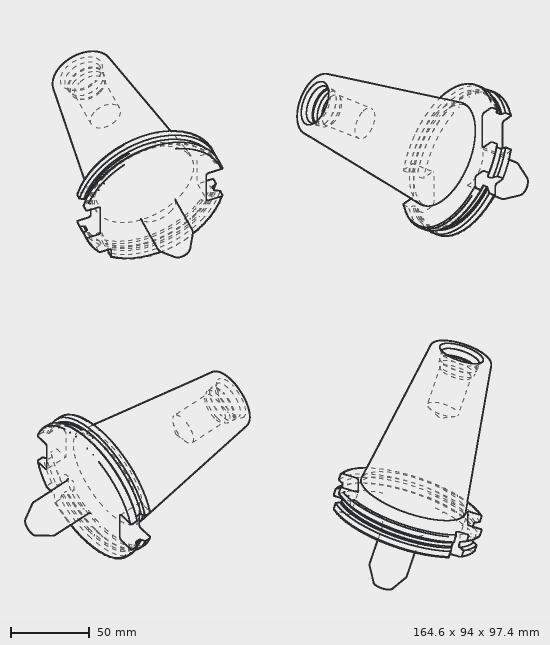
import cadquery as cq
import math


total_length = 164.6
taper_length = 101.0
relief_start = 102.2
flange_start = 104.9
flange_width = 16.0
flange_end = flange_start + flange_width

taper_large_radius = 34.9
taper_radius_slope = 7 / 48
taper_small_radius = taper_large_radius - taper_length * taper_radius_slope
neck_radius = 34.5
neck_fillet = 1.0
taper_end_fillet = 2.1

flange_radius = 48.7
flange_edge_fillet = 1.0
groove_centre = 112.8
groove_half_width = 3.3
groove_wall_half_width = 2.0
groove_included_angle = 60
groove_bevel_depth = (groove_half_width - groove_wall_half_width) / math.tan(
    math.radians(groove_included_angle / 2)
)
groove_floor_radius = 45.6
groove_floor_fillet = 0.8

nose_radius = 12.5
nose_root_fillet = 5.8
nose_edge_fillet = 1.0
tip_radius = 6.3
tip_half_angle = 30
tip_start = total_length - (nose_radius - tip_radius) / math.tan(math.radians(tip_half_angle))

slot_half_height = 12.8
slot_floor_back = 35.5
slot_floor_front = 37.4
notch_wall = 29.8
notch_top = 30.1
slot_fillet = 1.6

rim_radius = 14.5
rim_depth = 0.5
mouth_radius = 14.0
pilot_start = 2.6
pilot_radius = 12.5
pilot_end = 7.2
thread_radius = 12.0
thread_start = pilot_end + pilot_radius - thread_radius
thread_end = 10.9
runout_radius = 11.7
runout_end = thread_end + thread_radius - runout_radius
drill_start = 13.2
drill_radius = 10.4
drill_depth = 39.5
drill_tip_half_angle = 59
drill_tip = drill_depth + drill_radius / math.tan(math.radians(drill_tip_half_angle))


def revolve_about_x(points):
    """Turn a closed (x, radius) outline around the X axis."""
    return cq.Workplane("XY").polyline(points).close().revolve(360, (0, 0), (1, 0))


def fillet_rim(body, x, radius, fillet):
    """Round the circular edge found at position x with the given radius."""
    tolerance = 0.002

    def is_rim(edge):
        if edge.geomType() != "CIRCLE":
            return False
        return abs(edge.Center().x - x) < tolerance and abs(edge.radius() - radius) < tolerance

    return body.edges().filter(is_rim).fillet(fillet)


def make_turned_body():
    bevel_radius = flange_radius - groove_bevel_depth
    groove_left_wall = groove_centre - groove_wall_half_width
    groove_right_wall = groove_centre + groove_wall_half_width
    body = revolve_about_x([
        (0, 0),
        (0, taper_small_radius),
        (taper_length, taper_large_radius),
        (relief_start, neck_radius),
        (flange_start, neck_radius),
        (flange_start, flange_radius),
        (groove_centre - groove_half_width, flange_radius),
        (groove_left_wall, bevel_radius),
        (groove_left_wall, groove_floor_radius),
        (groove_right_wall, groove_floor_radius),
        (groove_right_wall, bevel_radius),
        (groove_centre + groove_half_width, flange_radius),
        (flange_end, flange_radius),
        (flange_end, nose_radius),
        (tip_start, nose_radius),
        (total_length, tip_radius),
        (total_length, 0),
    ])
    rounded_rims = [
        (0, taper_small_radius, taper_end_fillet),
        (flange_start, neck_radius, neck_fillet),
        (flange_start, flange_radius, flange_edge_fillet),
        (groove_left_wall, groove_floor_radius, groove_floor_fillet),
        (groove_right_wall, groove_floor_radius, groove_floor_fillet),
        (flange_end, flange_radius, flange_edge_fillet),
        (flange_end, nose_radius, nose_root_fillet),
        (tip_start, nose_radius, nose_edge_fillet),
        (total_length, tip_radius, nose_edge_fillet),
    ]
    for x, radius, fillet in rounded_rims:
        body = fillet_rim(body, x, radius, fillet)
    return body


def make_bore():
    return revolve_about_x([
        (0, 0),
        (0, rim_radius),
        (rim_depth, mouth_radius),
        (pilot_start, pilot_radius),
        (pilot_end, pilot_radius),
        (thread_start, thread_radius),
        (thread_end, thread_radius),
        (runout_end, runout_radius),
        (drill_start, drill_radius),
        (drill_depth, drill_radius),
        (drill_tip, 0),
    ])


def flange_cutter(y_inner, y_outer, z_low, z_high, inner_edges):
    """Make a block across the full flange width with its inner corners rounded."""
    depth = abs(y_outer - y_inner)
    centre = (flange_start + flange_width / 2, (y_inner + y_outer) / 2, (z_low + z_high) / 2)
    block = cq.Workplane("XY").box(flange_width, depth, z_high - z_low).translate(centre)
    return block.edges(inner_edges).fillet(slot_fillet)


def drive_slot(y_inner, y_outer, inner_edges):
    """Make the cutter for a drive slot centred on the axis height."""
    return flange_cutter(y_inner, y_outer, -slot_half_height, slot_half_height, inner_edges)


back_slot = drive_slot(slot_floor_back, flange_radius, "|X and <Y")
front_slot = drive_slot(-slot_floor_front, -flange_radius, "|X and >Y")
notch = flange_cutter(-notch_wall, -flange_radius, -flange_radius, -notch_top, "|X and >Y and >Z")

result = make_turned_body().cut(make_bore()).cut(back_slot).cut(front_slot).cut(notch)